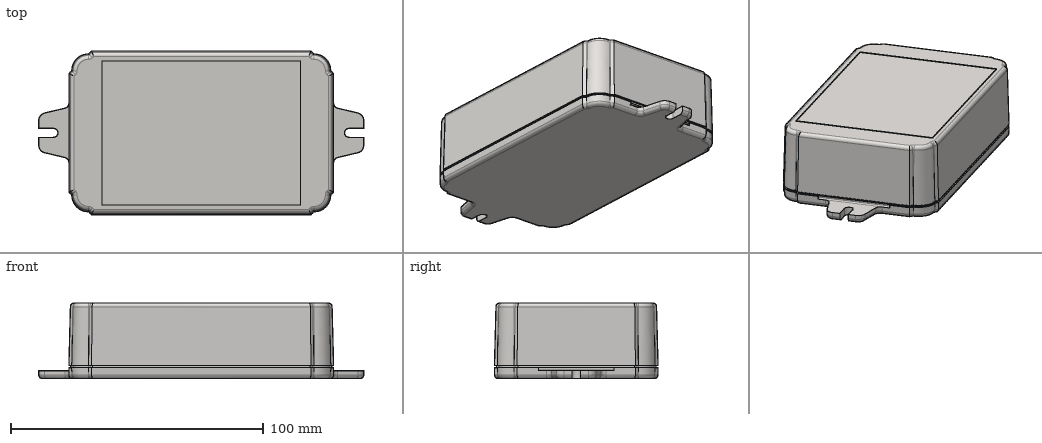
import cadquery as cq
import math

total_length = 128.9
case_length = 105.1
case_width = 65.0
total_height = 30.0
base_height = 4.4
parting_gap = 0.8
cover_bottom = base_height + parting_gap
wall_draft = 1.5
edge_round = 1.5

corner_step = 1.2
corner_radius = 6.7

groove_depth = 0.8

label_length = 78.9
label_width = 57.1
label_depth = 0.3

tab_thickness = 3.2
tab_end_width = 14.7
tab_root_width = 20.4
tab_corner_radius = 3.1
tab_root_radius = 2.0
slot_width = 3.5
slot_length = 7.6

relief_width = 30.0
relief_depth = 0.8
relief_floor = tab_thickness
relief_round = 0.5


def case_outline(z):
    """Case outline at height z: four flat sides joined by set-in round corners."""
    side_x = case_length / 2
    side_y = case_width / 2
    corner_x = side_x - corner_step
    corner_y = side_y - corner_step
    center_x = corner_x - corner_radius
    center_y = corner_y - corner_radius
    flat_x = center_x - corner_step
    flat_y = center_y - corner_step
    arc_reach = corner_radius * math.sqrt(0.5)

    sketch = cq.Workplane("XY").workplane(offset=z).moveTo(-flat_x, -side_y)
    for across, along in ((1, -1), (1, 1), (-1, 1), (-1, -1)):
        mid = (across * (center_x + arc_reach), along * (center_y + arc_reach))
        y_side = [(across * flat_x, along * side_y), (across * center_x, along * corner_y)]
        x_side = [(across * corner_x, along * center_y), (across * side_x, along * flat_y)]
        first, last = (y_side, x_side) if across * along < 0 else (x_side[::-1], y_side[::-1])
        sketch = sketch.lineTo(*first[0]).lineTo(*first[1])
        sketch = sketch.threePointArc(mid, last[0]).lineTo(*last[1])
    return sketch.close()


def make_cover():
    """Upper half: drafted block, rounded top edge, label recess and tongue."""
    cover = case_outline(cover_bottom).extrude(total_height - cover_bottom, taper=wall_draft)
    cover = cover.faces(">Z").edges().fillet(edge_round)
    recess = (
        cq.Workplane("XY")
        .workplane(offset=total_height - label_depth)
        .rect(label_length, label_width)
        .extrude(label_depth)
    )
    tongue = case_outline(base_height).offset2D(-groove_depth).extrude(parting_gap)
    return cover.cut(recess).union(tongue)


def tab_blank(side):
    """Mounting tab with sharp corners on the given X side (+1 or -1), rooted inside the case."""
    end_x = total_length / 2
    root_x = case_length / 2
    inner_x = root_x - corner_step
    end_y = tab_end_width / 2
    root_y = tab_root_width / 2
    inner_y = root_y + (root_y - end_y) * (root_x - inner_x) / (end_x - root_x)
    half = [(inner_x, inner_y), (end_x, end_y)]
    points = half + [(x, -y) for x, y in reversed(half)]
    return cq.Workplane("XY").polyline([(side * x, y) for x, y in points]).close().extrude(tab_thickness)


def tab_slot(side):
    """Open-ended screw slot running in from the end of a tab."""
    slot = cq.Workplane("XY").slot2D(2 * slot_length, slot_width).extrude(tab_thickness)
    return slot.translate((side * total_length / 2, 0, 0))


def end_relief(side):
    """Block that clears the shallow relief in the base's end wall, up to the rim."""
    height = base_height - relief_floor
    block = cq.Workplane("XY").box(2 * relief_depth, relief_width, height, centered=(True, True, False))
    block = block.faces("<Z").edges("|Y").fillet(relief_round)
    return block.translate((side * case_length / 2, 0, relief_floor))


def tab_corner_edges(base, x_min, x_max):
    """The tabs' upright corner edges whose X distance from the middle lies in the given range."""
    right = cq.selectors.BoxSelector((x_min, -tab_root_width, 0), (x_max, tab_root_width, tab_thickness))
    left = cq.selectors.BoxSelector((-x_max, -tab_root_width, 0), (-x_min, tab_root_width, tab_thickness))
    return base.edges("not #Z").edges(right + left)


def make_base():
    """Lower half: drafted block with a rounded bottom edge, two slotted tabs and end reliefs."""
    base = case_outline(base_height).extrude(-base_height, taper=wall_draft)
    for side in (-1, 1):
        base = base.union(tab_blank(side))
    tab_middle_x = (total_length + case_length) / 4
    base = tab_corner_edges(base, case_length / 2 - corner_step, tab_middle_x).fillet(tab_root_radius)
    base = tab_corner_edges(base, tab_middle_x, total_length).fillet(tab_corner_radius)
    base = base.faces("<Z").edges().fillet(edge_round)
    for side in (-1, 1):
        base = base.cut(tab_slot(side)).cut(end_relief(side))
    return base


cover = make_cover()
base = make_base()

result = cq.Compound.makeCompound([cover.solids().val(), base.solids().val()])